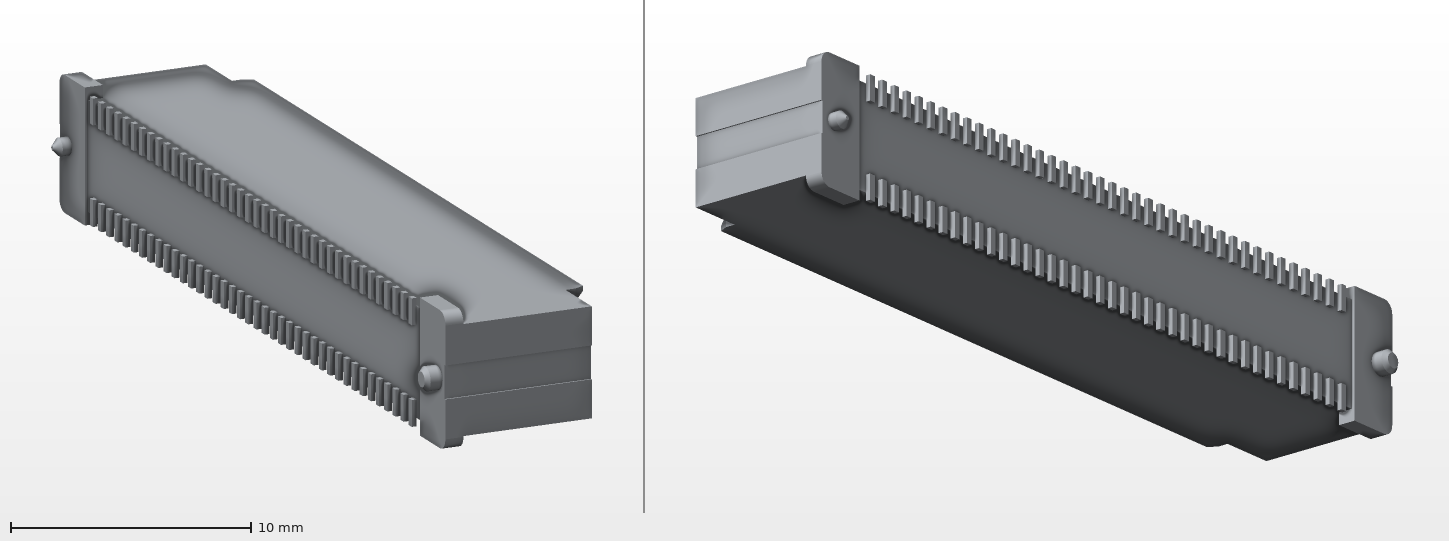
import cadquery as cq

length = 37.8
flange_height = 6.0
pin_length = 0.7
overall_depth = 8.35

body_height = 4.88
lip_depth = 0.9
body_depth = overall_depth - pin_length - lip_depth

flange_width = 2.5
flange_thickness = 0.85
flange_corner_radius = 0.53

front_recess_depth = 0.15
front_recess_length = length - 2 * flange_width

end_groove_height = 1.47
end_groove_depth = 0.08

lip_length = 32.65
lip_thickness = 0.45
lip_end_taper = 0.23
lip_end_taper_depth = 0.45
lip_inner_taper = 0.23
lip_inner_taper_depth = 0.3

contact_count = 40
contact_row_length = 31.22
contact_pitch = contact_row_length / (contact_count - 1)
contact_width = 0.3
contact_height = 1.17
contact_span = 5.6
contact_projection = 0.22

pin_offset = 18.05
small_pin_diameter = 0.8
small_pin_chamfer = 0.3
large_pin_diameter = 1.05
large_pin_chamfer = 0.2


def box(x_size, y_size, z_size, y_start):
    """Block centred on X and Z that runs in +Y from y_start."""
    block = cq.Workplane("XY").box(x_size, y_size, z_size, centered=(True, False, True))
    return block.translate((0, y_start, 0))


def make_flanges():
    """Both end flanges, with rounded outer corners."""
    plate = box(length, flange_thickness, flange_height, 0)
    plate = plate.edges("|Y").fillet(flange_corner_radius)
    return plate.cut(box(front_recess_length, flange_thickness, flange_height, 0))


def make_housing():
    """Main block with its flanges, front recess and end grooves."""
    housing = box(length, body_depth, body_height, 0)
    housing = housing.cut(box(front_recess_length, front_recess_depth, body_height, 0))
    housing = housing.union(make_flanges())
    for side in (-1, 1):
        groove = box(2 * end_groove_depth, body_depth, end_groove_height, 0)
        housing = housing.cut(groove.translate((side * length / 2, 0, 0)))
    return housing


def make_upper_lip():
    """Lip flush with the top of the housing."""
    tip_y = body_depth + lip_depth
    end_taper_y = tip_y - lip_end_taper_depth
    inner_taper_y = tip_y - lip_inner_taper_depth
    half_length = lip_length / 2
    plan = [
        (-half_length, body_depth),
        (half_length, body_depth),
        (half_length, end_taper_y),
        (half_length - lip_end_taper, tip_y),
        (-half_length + lip_end_taper, tip_y),
        (-half_length, end_taper_y),
    ]
    top_z = body_height / 2
    inner_z = top_z - lip_thickness
    profile = [
        (body_depth, inner_z),
        (inner_taper_y, inner_z),
        (tip_y, inner_z + lip_inner_taper),
        (tip_y, top_z),
        (body_depth, top_z),
    ]
    outline = cq.Workplane("XY").workplane(offset=inner_z).polyline(plan).close().extrude(lip_thickness)
    section = cq.Workplane("YZ").polyline(profile).close().extrude(half_length, both=True)
    return outline.intersect(section)


def make_contacts():
    """Two rows of contact tails standing out from the front recess."""
    row_spacing = contact_span - contact_height
    tails = cq.Workplane("XZ", origin=(0, front_recess_depth, 0))
    tails = tails.rarray(contact_pitch, row_spacing, contact_count, 2)
    return tails.rect(contact_width, contact_height).extrude(contact_projection)


def make_pin(x, diameter, chamfer):
    """Locating pin with a chamfered tip."""
    pin = cq.Workplane("XZ").circle(diameter / 2).extrude(pin_length)
    return pin.faces("<Y").chamfer(chamfer).translate((x, 0, 0))


result = make_housing()

upper_lip = make_upper_lip()
result = result.union(upper_lip).union(upper_lip.mirror("XY"))

result = result.union(make_contacts())
result = result.union(make_pin(-pin_offset, small_pin_diameter, small_pin_chamfer))
result = result.union(make_pin(pin_offset, large_pin_diameter, large_pin_chamfer))